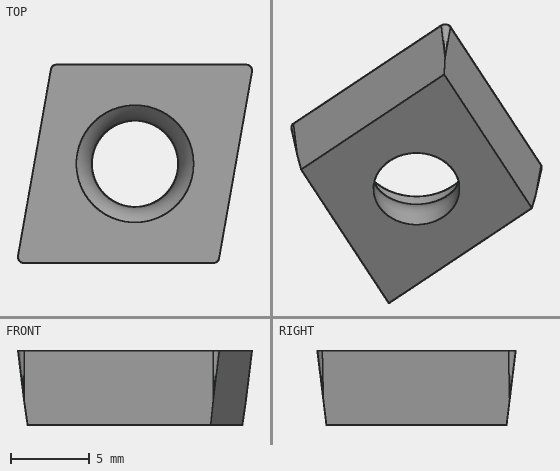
import cadquery as cq
import math

inscribed_diameter = 12.7
thickness = 4.76
nose_angle = 80.0
clearance_angle = 7.0
nose_radius = 0.4

hole_diameter = 5.5
recess_diameter = 7.5
recess_depth = 1.03
seat_rim_angle = 45.0

overshoot = 1.0


def rhombus_corners(inset):
    """Corners of the rhombus whose sides lie `inset` inside the top outline, counterclockwise."""
    half_height = inscribed_diameter / 2 - inset
    half_side = half_height / math.sin(math.radians(nose_angle))
    shear = half_height / math.tan(math.radians(nose_angle))
    return [
        (-half_side - shear, -half_height),
        (half_side - shear, -half_height),
        (half_side + shear, half_height),
        (-half_side + shear, half_height),
    ]


def sharp_body():
    """Tapered block with sharp corners, widest at the top."""
    return (
        cq.Workplane("XY")
        .polyline(rhombus_corners(0))
        .close()
        .extrude(-thickness, taper=clearance_angle)
    )


def tangent_point(center, corner, neighbour):
    """Foot of the perpendicular from `center` to the side that runs from `corner` to `neighbour`."""
    corner = cq.Vector(*corner)
    direction = (cq.Vector(*neighbour) - corner).normalized()
    return corner + direction * (cq.Vector(*center) - corner).dot(direction)


def corner_waste(index):
    """Material outside the conical nose at one corner; it shrinks to a point at the cone tip."""
    corners = rhombus_corners(0)
    center = rhombus_corners(nose_radius)[index]
    corner = corners[index]
    before = tangent_point(center, corner, corners[index - 1])
    after = tangent_point(center, corner, corners[(index + 1) % len(corners)])
    cone_height = nose_radius / math.tan(math.radians(clearance_angle))

    base = [cq.Vector(*center), before, cq.Vector(*corner), after]
    tip = cq.Vector(*center, -cone_height)
    faces = [cq.Face.makeFromWires(cq.Wire.makePolygon(base, close=True))]
    for start, end in zip(base, base[1:] + base[:1]):
        faces.append(cq.Face.makeFromWires(cq.Wire.makePolygon([start, end, tip], close=True)))
    pyramid = cq.Solid.makeSolid(cq.Shell.makeShell(faces))
    nose_cone = cq.Solid.makeCone(
        nose_radius, 0, cone_height, pnt=cq.Vector(*center), dir=cq.Vector(0, 0, -1)
    )
    return pyramid.cut(nose_cone)


def screw_hole():
    """Revolved hole: recess, seat arc tangent to the bore, then the straight bore."""
    hole_radius = hole_diameter / 2
    recess_radius = recess_diameter / 2
    rim_angle = math.radians(seat_rim_angle)
    seat_radius = (recess_radius - hole_radius) / (1 - math.cos(rim_angle))
    seat_bottom = -recess_depth - seat_radius * math.sin(rim_angle)
    arc_center_x = hole_radius + seat_radius
    seat_middle = (
        arc_center_x - seat_radius * math.cos(rim_angle / 2),
        seat_bottom + seat_radius * math.sin(rim_angle / 2),
    )
    return (
        cq.Workplane("XZ")
        .moveTo(0, overshoot)
        .lineTo(recess_radius, overshoot)
        .lineTo(recess_radius, -recess_depth)
        .threePointArc(seat_middle, (hole_radius, seat_bottom))
        .lineTo(hole_radius, -thickness - overshoot)
        .lineTo(0, -thickness - overshoot)
        .close()
        .revolve(360, (0, 0, 0), (0, 1, 0))
    )


body = sharp_body()
for corner_index in range(len(rhombus_corners(0))):
    body = body.cut(cq.Workplane(obj=corner_waste(corner_index)))
result = body.cut(screw_hole())